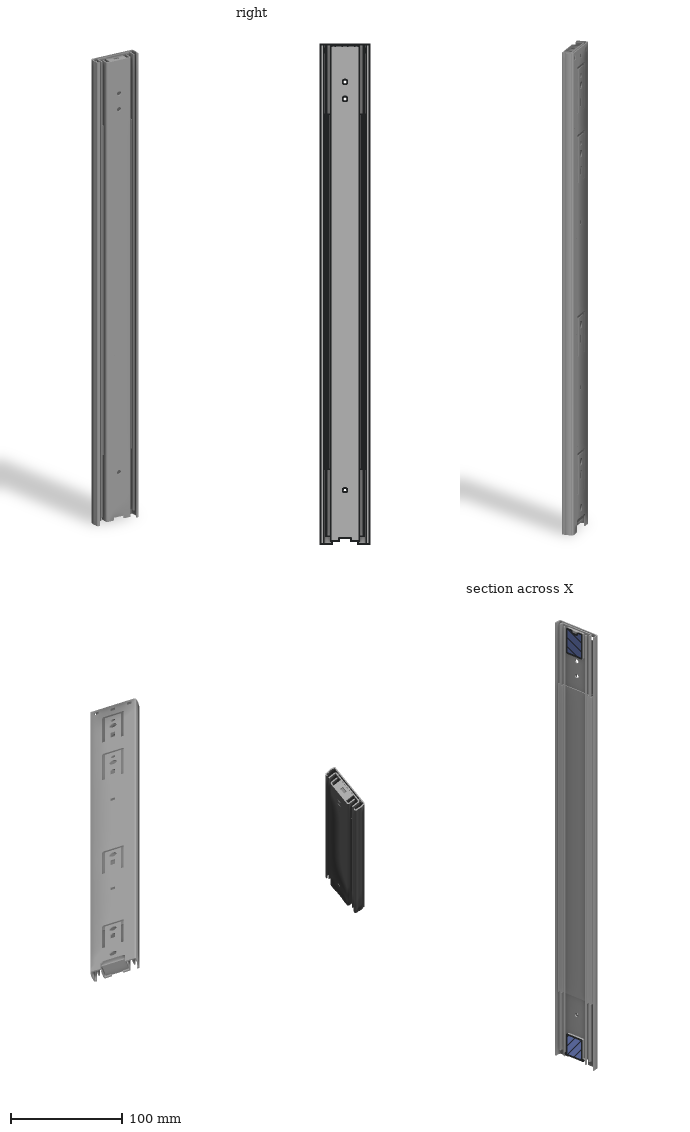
import cadquery as cq


LENGTH = 450.0
DEPTH = 12.5
HALF_WIDTH = 22.5
SHEET = 1.12

OUTER_DEPTH = 11.2
BULGE = 0.5
BULGE_START = 2.2
BULGE_END = 7.5
WEB_BEND = 1.5
LIP_BEND = 1.5
LIP_HALF_OPENING = 19.5

MIDDLE_BACK = 2.2
MIDDLE_FRONT = 11.0
MIDDLE_HALF_WIDTH = 17.5
MIDDLE_BOTTOM = 7.0
MIDDLE_TOP = LENGTH
MIDDLE_BEND = 2.0

INNER_BACK = 4.5
INNER_HALF_WIDTH = 13.0
INNER_BOTTOM = 2.5
INNER_TOP = 448.5
INNER_BEND = 2.0
INNER_NOTCH_WIDTH = 11.0
INNER_NOTCH_TOP = 5.5

RETAINER_SHEET = 0.68
OUTER_RETAINER_BACK = 1.5
OUTER_RETAINER_FRONT = 7.0
OUTER_RETAINER_HALF_WIDTH = 19.5
INNER_RETAINER_BACK = 3.5
INNER_RETAINER_FRONT = 10.0
INNER_RETAINER_HALF_WIDTH = 15.5
RETAINER_BOTTOM = 67.5
RETAINER_TOP = 387.0

BUMPER_WIDTH = 18.0
TOP_BUMPER_BOTTOM = 423.0
TOP_BUMPER_TOP = 448.5
BOTTOM_BUMPER_BOTTOM = 5.5
BOTTOM_BUMPER_TOP = 27.0
BUMPER_FOOT_WIDTH = 21.5
BUMPER_RECESS_LENGTH = 5.5
BUMPER_RECESS_WIDTH = 2.5
BUMPER_RECESS_DEPTH = 2.5

SMALL_HOLE = 4.0
LARGE_HOLE = 6.8
LONG_HOLE = 8.0
SLIT_WIDTH = 2.5
SLIT_HALF_SPAN = 10.5

TONGUES = [(434.2, 391.0), (371.0, 326.0), (201.5, 163.5), (73.5, 34.5)]
LARGE_HOLE_HEIGHTS = [415.0, 351.0, 191.2, 63.0, 20.2]
TONGUE_SMALL_HOLE_HEIGHTS = [424.0, 360.5]
RECTANGULAR_HOLE_HEIGHTS = [399.0, 178.0]
ARCHED_HOLE_HEIGHTS = [335.2, 51.5]
SQUARE_HOLE_HEIGHTS = [287.0, 132.8]
TOP_CENTRE_HOLE_HEIGHT = 443.0
TOP_SIDE_HOLE_HEIGHT = 444.5
TOP_SIDE_HOLE_OFFSET = 15.8

OUTER_NOTCH_WIDTH = 23.5
OUTER_NOTCH_TOP = 11.5
OUTER_NOTCH_RADIUS = 2.5

ACCESS_HOLE_HEIGHTS = [416.2, 401.0, 48.5]


def block(x_range, half_width, z_range, y_centre=0.0):
    """Box given by its X range, half width in Y and Z range."""
    x_size = x_range[1] - x_range[0]
    z_size = z_range[1] - z_range[0]
    box = cq.Workplane("XY").box(x_size, 2 * half_width, z_size, centered=(False, True, False))
    return box.translate((x_range[0], y_centre, z_range[0]))


def round_cutter(diameter, height):
    """Round bar along X on the centre line, long enough to pass through the whole slide."""
    return cq.Workplane("YZ").center(0, height).circle(diameter / 2).extrude(DEPTH)


def rectangular_cutter(half_width, height, z_size, y_centre=0.0):
    """Rectangular cutter through the outer web, centred at a height."""
    z_range = (height - z_size / 2, height + z_size / 2)
    return block((0, SHEET), half_width, z_range, y_centre)


def tongue_slit(top, bottom):
    """Upside-down U slit that frees a tongue of the outer web."""
    frame = block((0, SHEET), SLIT_HALF_SPAN, (bottom, top))
    tongue = block((0, SHEET), SLIT_HALF_SPAN - SLIT_WIDTH, (bottom, top - SLIT_WIDTH))
    return frame.cut(tongue).edges("|X and >Z").fillet(SLIT_WIDTH / 2)


def arched_cutter(height):
    """Long hole through the outer web with a round top and a square bottom, centred at a height."""
    bottom = height - LONG_HOLE / 2
    arch_centre = height + LONG_HOLE / 2 - SMALL_HOLE / 2
    square_part = block((0, SHEET), SMALL_HOLE / 2, (bottom, arch_centre))
    arch = cq.Workplane("YZ").center(0, arch_centre).circle(SMALL_HOLE / 2).extrude(SHEET)
    return square_part.union(arch)


def outer_section():
    """C-shaped outline with bulged ball tracks and lips turned inward."""
    flat = HALF_WIDTH - BULGE
    inner_flat = flat - SHEET
    bulge_middle = (BULGE_START + BULGE_END) / 2
    lip_inside = OUTER_DEPTH - SHEET
    half = (
        cq.Workplane("XY")
        .moveTo(0, 0)
        .lineTo(0, flat - WEB_BEND)
        .radiusArc((WEB_BEND, flat), WEB_BEND)
        .lineTo(BULGE_START, flat)
        .threePointArc((bulge_middle, HALF_WIDTH), (BULGE_END, flat))
        .lineTo(OUTER_DEPTH - LIP_BEND, flat)
        .radiusArc((OUTER_DEPTH, flat - LIP_BEND), LIP_BEND)
        .lineTo(OUTER_DEPTH, LIP_HALF_OPENING)
        .lineTo(lip_inside, LIP_HALF_OPENING)
        .lineTo(lip_inside, inner_flat)
        .lineTo(BULGE_END, inner_flat)
        .threePointArc((bulge_middle, inner_flat + BULGE), (BULGE_START, inner_flat))
        .lineTo(WEB_BEND, inner_flat)
        .radiusArc((SHEET, flat - WEB_BEND), SHEET - WEB_BEND)
        .lineTo(SHEET, 0)
    )
    return half.mirrorX()


def make_outer_rail():
    rail = outer_section().extrude(LENGTH)
    notch = block((0, SHEET), OUTER_NOTCH_WIDTH / 2, (0, OUTER_NOTCH_TOP))
    rail = rail.cut(notch.edges("|X and >Z").fillet(OUTER_NOTCH_RADIUS))
    for top, bottom in TONGUES:
        rail = rail.cut(tongue_slit(top, bottom))
    for height in LARGE_HOLE_HEIGHTS:
        rail = rail.cut(round_cutter(LARGE_HOLE, height))
    for height in TONGUE_SMALL_HOLE_HEIGHTS:
        rail = rail.cut(round_cutter(SMALL_HOLE, height))
    for height in RECTANGULAR_HOLE_HEIGHTS:
        rail = rail.cut(rectangular_cutter(SMALL_HOLE / 2, height, LONG_HOLE))
    for height in ARCHED_HOLE_HEIGHTS:
        rail = rail.cut(arched_cutter(height))
    for height in SQUARE_HOLE_HEIGHTS:
        rail = rail.cut(rectangular_cutter(SMALL_HOLE / 2, height, SMALL_HOLE))
    rail = rail.cut(rectangular_cutter(SMALL_HOLE / 2, TOP_CENTRE_HOLE_HEIGHT, SMALL_HOLE))
    for side in (-1, 1):
        y_centre = side * TOP_SIDE_HOLE_OFFSET
        rail = rail.cut(rectangular_cutter(SMALL_HOLE / 2, TOP_SIDE_HOLE_HEIGHT, SMALL_HOLE, y_centre))
    return rail


def cut_access_holes(rail):
    for height in ACCESS_HOLE_HEIGHTS:
        rail = rail.cut(round_cutter(SMALL_HOLE, height))
    return rail


def make_middle_rail():
    """Channel opening toward +X, inside the outer rail."""
    z_range = (MIDDLE_BOTTOM, MIDDLE_TOP)
    body = block((MIDDLE_BACK, MIDDLE_FRONT), MIDDLE_HALF_WIDTH, z_range)
    body = body.edges("|Z and <X").fillet(MIDDLE_BEND)
    cavity = block((MIDDLE_BACK + SHEET, MIDDLE_FRONT), MIDDLE_HALF_WIDTH - SHEET, z_range)
    cavity = cavity.edges("|Z and <X").fillet(MIDDLE_BEND - SHEET)
    return cut_access_holes(body.cut(cavity))


def make_inner_rail():
    """Channel opening toward -X, inside the middle rail."""
    z_range = (INNER_BOTTOM, INNER_TOP)
    body = block((INNER_BACK, DEPTH), INNER_HALF_WIDTH, z_range)
    body = body.edges("|Z and >X").fillet(INNER_BEND)
    cavity = block((INNER_BACK, DEPTH - SHEET), INNER_HALF_WIDTH - SHEET, z_range)
    cavity = cavity.edges("|Z and >X").fillet(INNER_BEND - SHEET)
    notch = block((INNER_BACK, DEPTH), INNER_NOTCH_WIDTH / 2, (INNER_BOTTOM, INNER_NOTCH_TOP))
    return cut_access_holes(body.cut(cavity).cut(notch))


def make_retainer(back, front, half_width):
    """Thin channel whose legs hold the balls between two rails."""
    z_range = (RETAINER_BOTTOM, RETAINER_TOP)
    body = block((back, front), half_width, z_range)
    cavity = block((back + RETAINER_SHEET, front), half_width - RETAINER_SHEET, z_range)
    return body.cut(cavity)


def make_bumper(bottom, top):
    """Solid stop filling the space between the middle and inner webs."""
    return block((MIDDLE_BACK + SHEET, DEPTH - SHEET), BUMPER_WIDTH / 2, (bottom, top))


def make_top_bumper():
    """Bumper with a rectangular recess in the middle of its top face."""
    centre_x = (MIDDLE_BACK + DEPTH) / 2
    x_range = (centre_x - BUMPER_RECESS_WIDTH / 2, centre_x + BUMPER_RECESS_WIDTH / 2)
    z_range = (TOP_BUMPER_TOP - BUMPER_RECESS_DEPTH, TOP_BUMPER_TOP)
    bumper = make_bumper(TOP_BUMPER_BOTTOM, TOP_BUMPER_TOP)
    return bumper.cut(block(x_range, BUMPER_RECESS_LENGTH / 2, z_range))


def make_bottom_bumper():
    """Bumper with a foot that wraps under the end of the middle web."""
    foot_z = (BOTTOM_BUMPER_BOTTOM, MIDDLE_BOTTOM)
    foot = block((SHEET, DEPTH - SHEET), BUMPER_FOOT_WIDTH / 2, foot_z)
    return make_bumper(BOTTOM_BUMPER_BOTTOM, BOTTOM_BUMPER_TOP).union(foot)


outer_rail = make_outer_rail()
middle_rail = make_middle_rail()
inner_rail = make_inner_rail()
outer_retainer = make_retainer(OUTER_RETAINER_BACK, OUTER_RETAINER_FRONT, OUTER_RETAINER_HALF_WIDTH)
inner_retainer = make_retainer(INNER_RETAINER_BACK, INNER_RETAINER_FRONT, INNER_RETAINER_HALF_WIDTH)
top_bumper = make_top_bumper()
bottom_bumper = make_bottom_bumper()

result = cq.Compound.makeCompound([
    outer_rail.val(),
    middle_rail.val(),
    inner_rail.val(),
    outer_retainer.val(),
    inner_retainer.val(),
    top_bumper.val(),
    bottom_bumper.val(),
])